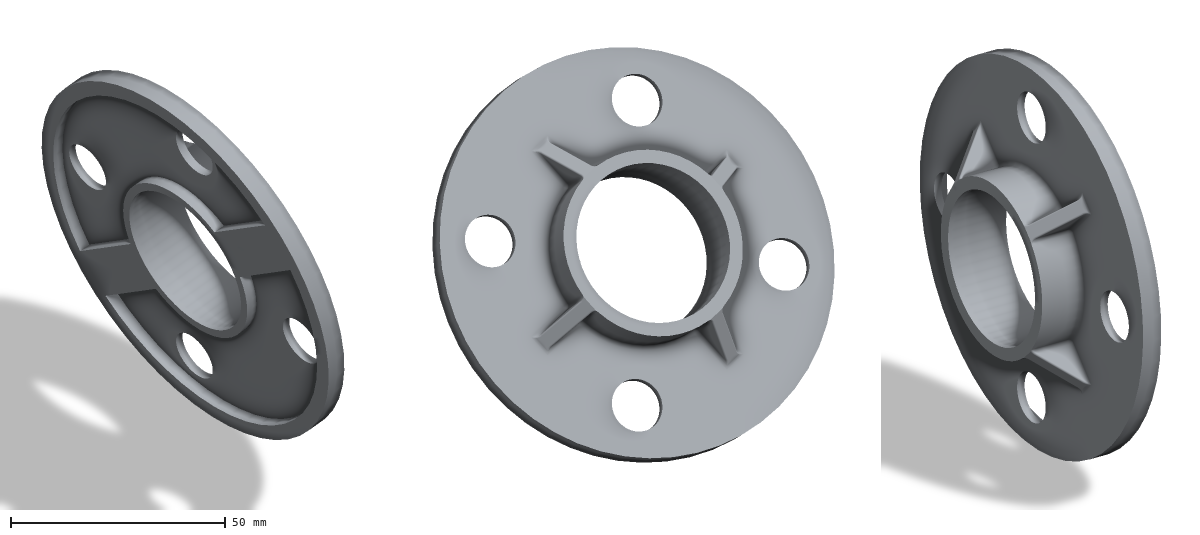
import cadquery as cq
import math

flange_diameter = 98.0
flange_thickness = 5.0
overall_length = 16.0

hub_diameter = 44.5
bore_diameter = 38.1

bolt_hole_diameter = 12.5
bolt_circle_radius = 36.5
bolt_hole_count = 4

recess_outer_diameter = 90.1
recess_inner_diameter = 42.3
recess_depth = 2.9
recess_bridge_width = 12.25
bridge_angle = 45.0

rib_count = 4
rib_first_angle = 45.0
rib_thickness = 3.7
rib_foot_radius = 33.9
rib_edge_radius = 0.4
rib_root_radius = 1.0
flange_fillet_radius = 1.0

hub_radius = hub_diameter / 2
tolerance = 0.01
axis_start = cq.Vector(0, 0, 0)
axis_direction = cq.Vector(0, 1, 0)


def cylinder(diameter, length):
    """Solid cylinder on the part axis, from Y = 0 toward +Y."""
    return cq.Workplane(cq.Solid.makeCylinder(diameter / 2, length, axis_start, axis_direction))


def turn(body, angle):
    """Rotate a body about the part axis."""
    return body.rotate((0, 0, 0), (0, 1, 0), angle)


def make_slope_cutter():
    """Wedge that removes everything outside a rib's slope, for the rib along +X."""
    rise = overall_length - flange_thickness
    run = rib_foot_radius - hub_radius
    outline = [
        (hub_radius - run, overall_length + rise),
        (rib_foot_radius + run, flange_thickness - rise),
        (flange_diameter, flange_thickness - rise),
        (flange_diameter, overall_length + rise),
    ]
    return cq.Workplane("XY").polyline(outline).close().extrude(2 * rib_thickness, both=True)


def is_rib_root(edge):
    """True for an edge along the hub wall where a rib side meets it."""
    center = edge.Center()
    parallel_to_axis = edge.BoundingBox().ylen > overall_length - tolerance
    on_hub_wall = abs(math.hypot(center.x, center.z) - hub_radius) < tolerance
    beside_rib = min(abs(center.x), abs(center.z)) > rib_thickness
    return parallel_to_axis and on_hub_wall and beside_rib


def is_flange_corner(edge):
    """True for an edge on the flange back where the hub or a rib rises from it."""
    box = edge.BoundingBox()
    reach = max(box.xmax, box.zmax, -box.xmin, -box.zmin)
    on_flange_back = box.ylen < tolerance and abs(box.ymin - flange_thickness) < tolerance
    return on_flange_back and reach < rib_foot_radius


def is_slope_edge(edge):
    """True for a long edge of a rib's slope."""
    box = edge.BoundingBox()
    return edge.geomType() == "LINE" and min(box.xlen, box.ylen, box.zlen) > flange_fillet_radius


def fillet_where(body, wanted, radius):
    """Round every edge of the body that passes the test."""
    edges = [edge for edge in body.edges().vals() if wanted(edge)]
    return body.newObject(edges).fillet(radius)


def make_ribbed_blank():
    """Flange and hub with sloped ribs, rounded at the rib roots, the flange and the slopes."""
    rib_angles = [rib_first_angle + index * 360 / rib_count for index in range(rib_count)]
    rib_wall = cq.Workplane("XY").box(
        flange_diameter / 2, overall_length, rib_thickness, centered=(False, False, True)
    )
    body = cylinder(hub_diameter, overall_length)
    for angle in rib_angles:
        body = body.union(turn(rib_wall, angle))
    body = fillet_where(body, is_rib_root, rib_root_radius)
    for angle in rib_angles:
        body = body.cut(turn(make_slope_cutter(), angle))
    body = body.union(cylinder(flange_diameter, flange_thickness))
    body = fillet_where(body, is_flange_corner, flange_fillet_radius)
    return fillet_where(body, is_slope_edge, rib_edge_radius)


def make_recess():
    """Shallow ring in the front face, split in two by a diagonal bridge."""
    ring = cylinder(recess_outer_diameter, recess_depth).cut(cylinder(recess_inner_diameter, recess_depth))
    bridge = cq.Workplane("XY").box(flange_diameter, 2 * recess_depth, recess_bridge_width)
    return ring.cut(turn(bridge, -bridge_angle))


def make_bolt_hole(index):
    """One of the through holes evenly spaced on the bolt circle."""
    hole = cylinder(bolt_hole_diameter, flange_thickness).translate((bolt_circle_radius, 0, 0))
    return turn(hole, index * 360 / bolt_hole_count)


result = make_ribbed_blank()
result = result.cut(make_recess())
result = result.cut(cylinder(bore_diameter, overall_length))
for hole_index in range(bolt_hole_count):
    result = result.cut(make_bolt_hole(hole_index))